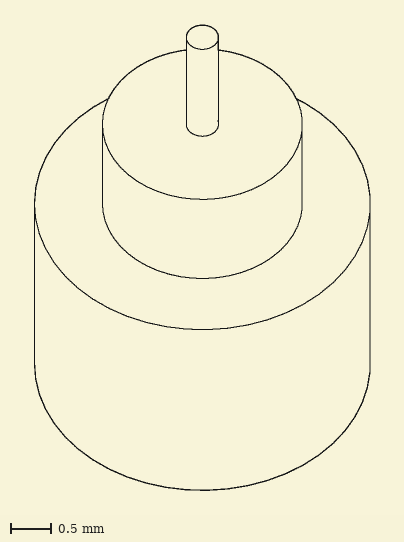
import cadquery as cq

total_height = 6.2
body_diameter = 4.2
body_height = 3.05
collar_diameter = 2.5
collar_height = 1.5
insulator_diameter = 1.95
pin_diameter = 0.4

body_radius = body_diameter / 2
collar_radius = collar_diameter / 2
insulator_radius = insulator_diameter / 2
pin_radius = pin_diameter / 2
collar_top = body_height + collar_height

half_section = [
    (0, 0),
    (-body_radius, 0),
    (-body_radius, body_height),
    (-collar_radius, body_height),
    (-collar_radius, collar_top),
    (-insulator_radius, collar_top),
    (-pin_radius, collar_top),
    (-pin_radius, total_height),
    (0, total_height),
]

result = (
    cq.Workplane("XZ")
    .polyline(half_section)
    .close()
    .revolve(360, (0, 0), (0, 1), clean=False)
)